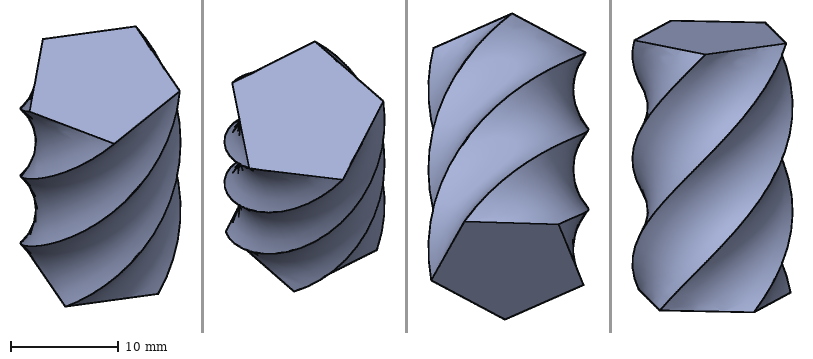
import cadquery as cq

side_count = 5
corner_radius = 7.5
height = 25.0
twist_angle = 180.0

result = (
    cq.Workplane("XY")
    .polygon(side_count, 2 * corner_radius)
    .twistExtrude(height, twist_angle)
)